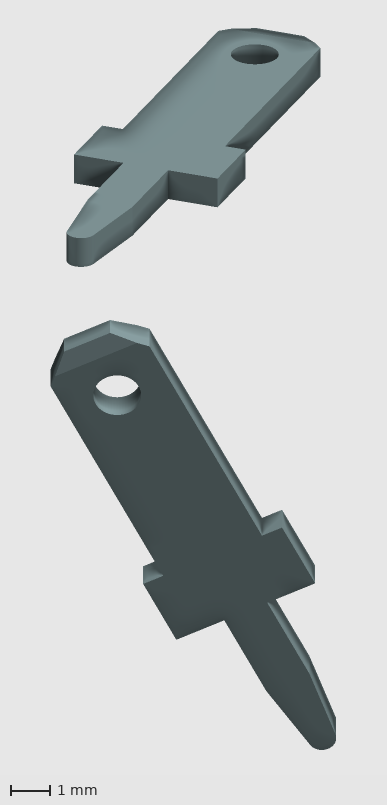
import cadquery as cq

length = 13.89
thickness = 0.8

shoulder_width = 3.95
shoulder_length = 1.92

blade_width = 2.8
blade_end_width = 1.3
corner_length = 0.75
bevel_length = 0.51
bevel_depth = 0.11
hole_diameter = 1.22
hole_from_end = 1.74

pin_width = 1.22
pin_length = 4.72
pin_straight_length = 2.43
pin_tip_left = 0.39
pin_tip_right = 0.35
pin_tip_height = 0.36

pin_tip_center = (pin_tip_right - pin_tip_left) / 2

shoulder_start = pin_length
shoulder_end = shoulder_start + shoulder_length
taper_start = shoulder_start - pin_straight_length


def make_plate():
    """Flat outline of pin, shoulder and blade, extruded to full thickness."""
    shared_side = [
        (pin_width / 2, taper_start),
        (pin_width / 2, shoulder_start),
        (shoulder_width / 2, shoulder_start),
        (shoulder_width / 2, shoulder_end),
        (blade_width / 2, shoulder_end),
        (blade_width / 2, length - corner_length),
        (blade_end_width / 2, length),
    ]
    right_side = [(pin_tip_right, pin_tip_height)] + shared_side
    left_side = [(-x, y) for x, y in reversed(shared_side)] + [(-pin_tip_left, pin_tip_height)]
    return (
        cq.Workplane("XY")
        .polyline(right_side + left_side)
        .threePointArc((pin_tip_center, 0), right_side[0])
        .close()
        .extrude(thickness / 2, both=True)
    )


def make_bevel_cutter(side):
    """Wedge that thins the blade end on the top (side=1) or bottom (side=-1)."""
    surface = side * thickness / 2
    return (
        cq.Workplane("YZ")
        .polyline([
            (length - bevel_length, surface),
            (length, surface),
            (length, surface - side * bevel_depth),
        ])
        .close()
        .extrude(blade_width / 2, both=True)
    )


def make_hole_cutter():
    """Detent hole through the blade."""
    return (
        cq.Workplane("XY")
        .center(0, length - hole_from_end)
        .circle(hole_diameter / 2)
        .extrude(thickness, both=True)
    )


result = make_plate().cut(make_hole_cutter())
for side in (1, -1):
    result = result.cut(make_bevel_cutter(side))